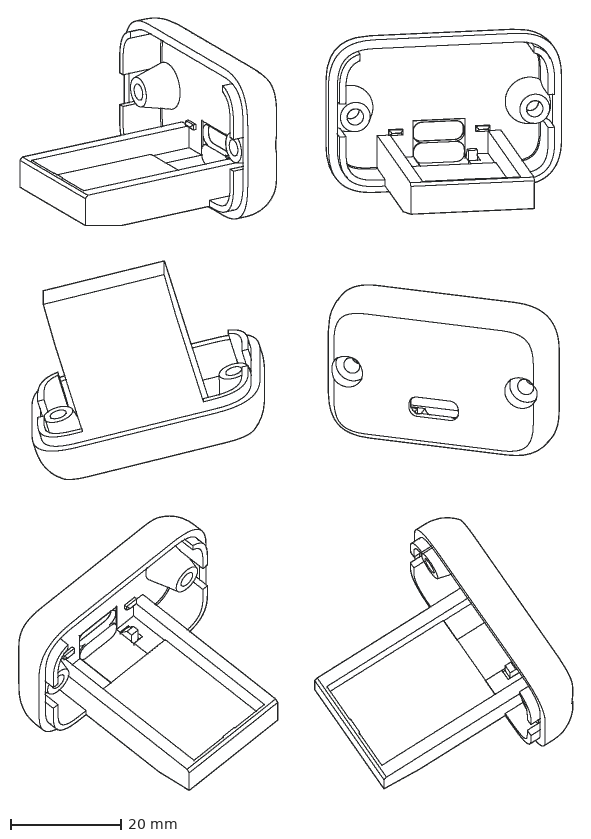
import cadquery as cq
import math


cover_width = 43.0
cover_height = 28.67
corner_reach = 8.5
corner_gap = 2.1
edge_radius = 7.5
edge_round_depth = 5.6
rim_depth = 7.7
wall = 1.65
floor_thickness = 1.5
cavity_edge_radius = 6.8

lip_thickness = 1.2
lip_depth = 9.7
lip_top_gap = 32.1
lip_side_gap = 6.15

boss_spacing = 33.1
boss_base_diameter = 8.7
boss_tip_diameter = 5.5
screw_diameter = 3.0
screw_head_diameter = 6.0
screw_head_depth = 3.0

shelf_width = 22.8
shelf_length = 36.1
shelf_top = -5.34
shelf_bottom = wall - cover_height / 2
shelf_chamfer = 0.55
ramp_start = 28.3
ramp_rise = 1.55
tray_width = 18.1
tray_end = 35.0
tray_floor = -9.25
ledge_floor = -9.6
ledge_end = 9.6
stop_width = 3.0
stop_thickness = 0.15

connector_width = 9.4
connector_height = 3.8
connector_radius = 1.6
window_top = -3.3
window_center = window_top - connector_height / 2
cradle_center = window_center - connector_height
recess_width = 9.6
recess_top = -2.88
recess_depth = 0.3

bump_spacing = 16.05
bump_width = 2.6
bump_height = 1.0
bump_top = -4.3
bump_length = 1.0
bump_chamfer = 0.48

post_inner = 4.75
post_width = 1.65
post_top = -7.9
post_front = 5.3
post_top_length = 1.2
post_foot_back = 2.6
pocket_inner = 4.65
pocket_width = 2.15
pocket_back = 2.4
pocket_front = 6.0
pocket_floor = cradle_center - connector_height / 2


def block(width, z_low, z_high, depth_start, depth_end, x_center=0.0):
    """Box centred on x_center between two heights and two depths."""
    size = (width, depth_end - depth_start, z_high - z_low)
    middle = (x_center, -(depth_start + depth_end) / 2, (z_low + z_high) / 2)
    return cq.Workplane("XY").box(*size).translate(middle)


def rounded_block(width, height, radius, depth_start, depth_end, z_center=0.0):
    """Block whose four edges along Y are rounded."""
    half = height / 2
    body = block(width, z_center - half, z_center + half, depth_start, depth_end)
    return body.edges("|Y").fillet(radius)


def rod(diameter, x, depth_start, depth_end):
    """Round rod along Y at mid height."""
    plane = cq.Workplane("XZ", origin=(x, -depth_start, 0))
    return plane.circle(diameter / 2).extrude(depth_end - depth_start)


def cover_outline(inset, depth):
    """Closed outline of the cover at a depth, moved inward; each corner is one smooth curve."""
    half_x = cover_width / 2 - inset
    half_z = cover_height / 2 - inset
    reach = corner_reach - inset
    middle_gap = corner_gap - inset * (1 - math.sqrt(0.5))
    control_gap = (8 * middle_gap - reach) / 3
    outline = cq.Workplane("XZ", origin=(0, -depth, 0)).moveTo(reach - half_x, -half_z)
    for sx, sz in ((1, -1), (1, 1), (-1, 1), (-1, -1)):
        along_x = [(sx * (half_x - gap), sz * half_z) for gap in (reach, control_gap)]
        along_z = [(sx * half_x, sz * (half_z - gap)) for gap in (control_gap, reach)]
        corner = along_x + along_z
        if sx == sz:
            corner.reverse()
        outline = outline.lineTo(*corner[0]).bezier(corner[1:], includeCurrent=True)
    return outline.close()


def cover_block(inset, depth_start, depth_end):
    return cover_outline(inset, depth_start).extrude(depth_end - depth_start)


def domed_block(inset, radius, depth_start, depth_end):
    """Cover block with a round toward the back, cut off flat at depth_start."""
    rise = edge_round_depth - depth_start
    run = radius - math.sqrt(radius**2 - rise**2)
    half_angle = math.asin(rise / radius) / 2
    edge = inset - cover_height / 2
    outside = edge - wall
    arc_middle = (
        radius * math.sin(half_angle) - edge_round_depth,
        edge + radius * (1 - math.cos(half_angle)),
    )
    waste = (
        cq.Workplane("YZ")
        .moveTo(-edge_round_depth, edge)
        .threePointArc(arc_middle, (-depth_start, edge + run))
        .lineTo(-depth_start, outside)
        .lineTo(-edge_round_depth, outside)
        .close()
        .sweep(cover_outline(inset, edge_round_depth))
    )
    return cover_block(inset, depth_start, depth_end).cut(waste)


def lip(cavity):
    ring = cavity.union(cover_block(wall, rim_depth, lip_depth))
    ring = ring.cut(cover_block(wall + lip_thickness, 0, lip_depth))
    ring = ring.cut(block(lip_top_gap, 0, cover_height / 2, 0, lip_depth))
    return ring.cut(block(cover_width, -lip_side_gap / 2, lip_side_gap / 2, 0, lip_depth))


def boss(x):
    start = cq.Workplane("XZ", origin=(x, -floor_thickness, 0)).circle(boss_base_diameter / 2)
    tip = start.workplane(offset=rim_depth - floor_thickness).circle(boss_tip_diameter / 2)
    return tip.loft()


def screw_hole(x):
    return rod(screw_diameter, x, 0, rim_depth).union(rod(screw_head_diameter, x, 0, screw_head_depth))


def shelf():
    body = (
        cq.Workplane("YZ", origin=(-shelf_width / 2, 0, 0))
        .moveTo(-floor_thickness, shelf_bottom)
        .lineTo(-floor_thickness, shelf_top)
        .lineTo(shelf_chamfer - shelf_length, shelf_top)
        .lineTo(-shelf_length, shelf_top - shelf_chamfer)
        .lineTo(-shelf_length, shelf_bottom + ramp_rise)
        .lineTo(-ramp_start, shelf_bottom)
        .close()
        .extrude(shelf_width)
    )
    body = body.cut(block(tray_width, tray_floor, shelf_top, floor_thickness, tray_end))
    body = body.cut(block(tray_width, ledge_floor, tray_floor, floor_thickness, ledge_end))
    stop = block(stop_width, tray_floor, shelf_top, tray_end - stop_thickness, tray_end)
    return body.union(stop)


def connector(depth_start, depth_end, z_center):
    return rounded_block(
        connector_width, connector_height, connector_radius, depth_start, depth_end, z_center
    )


def bump(x):
    end = floor_thickness + bump_length
    body = block(bump_width, bump_top - bump_height, bump_top, floor_thickness, end, x)
    return body.faces("<Y").chamfer(bump_chamfer)


def post():
    return (
        cq.Workplane("YZ", origin=(post_inner, 0, 0))
        .moveTo(-post_foot_back, pocket_floor)
        .lineTo(-post_foot_back, ledge_floor)
        .lineTo(post_top_length - post_front, post_top)
        .lineTo(-post_front, post_top)
        .lineTo(-post_front, pocket_floor)
        .close()
        .extrude(post_width)
    )


def post_pocket():
    center = pocket_inner + pocket_width / 2
    return block(pocket_width, pocket_floor, ledge_floor, pocket_back, pocket_front, center)


sides = (-1, 1)

cavity = domed_block(wall, cavity_edge_radius, floor_thickness, rim_depth)
result = domed_block(0, edge_radius, 0, rim_depth).cut(cavity).union(lip(cavity))
for side in sides:
    result = result.union(boss(side * boss_spacing / 2).intersect(cavity))
result = result.union(shelf())

recess_back = floor_thickness - recess_depth
result = result.cut(block(recess_width, ledge_floor, recess_top, recess_back, floor_thickness))
result = result.union(connector(recess_back, floor_thickness, cradle_center))
result = result.cut(connector(0, floor_thickness, window_center))
result = result.cut(connector(floor_thickness, ledge_end, cradle_center))

for side in sides:
    result = result.cut(screw_hole(side * boss_spacing / 2))
    result = result.union(bump(side * bump_spacing / 2))
result = result.cut(post_pocket()).union(post())